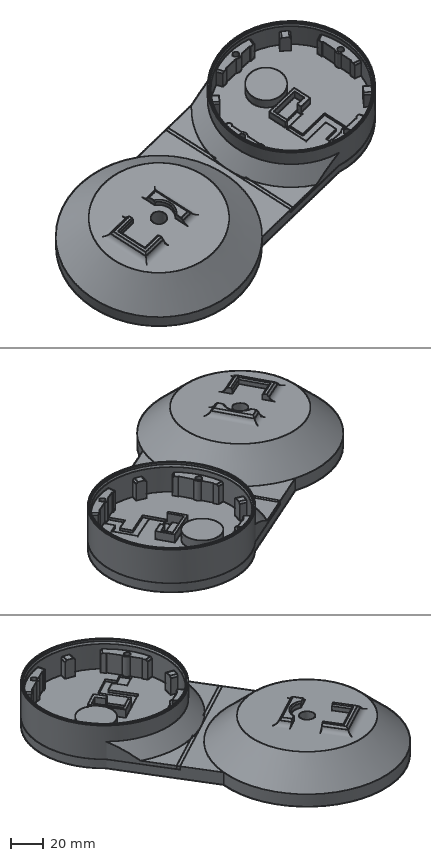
import cadquery as cq
import math

foot_dia = 128.0
foot_rim_height = 9.0
foot_top_dia = 87.0
foot_top_height = 27.5
foot_hole_dia = 10.0

total_length = 246.0
total_height = 31.7
cup_dia = 104.0
bridge_width = 99.9
base_plate_height = 6.6

cup_floor_height = 10.8
cup_bore_dia = 99.9
cup_lip_dia = 101.5
cup_lip_depth = 1.5
cup_lip_taper = 1.5
cup_edge_height = 0.7
cup_edge_inset = 0.2
skirt_top_height = 19.5
skirt_bottom_radius = 62.0

strip_width = 2.2

frame_half_width = 18.2
frame_back = 18.0
frame_front = -34.2
gap_back = 6.2
gap_front = -13.3
lip_height = 1.5
frame_pocket_half_width = 9.8
frame_pocket_front = -25.8
frame_chamfer = 1.0
frame_arc_radius = 10.0

fitting_count = 4
fitting_turn = -1.2
pad_height = 25.0
pad_half_width = 15.3
pad_face_radius = 43.5
pad_end_chamfer = 1.2
pad_tab_width = 3.7
pad_tab_depth = 0.7
pad_hole_dia = 4.2
pad_hole_radius = 46.0
pad_hole_shift = 1.0
pad_boss_dia = 7.1
post_height = 24.0
post_width = 7.1
post_face_radius = 44.8
post_chamfer = 1.2
disc_dia = 26.0
disc_offset = -20.2
disc_height = 18.0

box_height = 16.7
box_left = -5.5
box_right = 7.5
box_front = -15.0
box_back = 9.3
box_wall = 2.0
box_inner_right = 4.2
slot_right = 8.5
slot_back = 0.5
recess_depth = 1.7
channel_lower_back = -12.0
channel_rise_left = 19.0
channel_rise_right = 24.0
channel_upper_front = 4.2
channel_drop_left = 32.5
channel_drop_right = 36.2
channel_exit_front = -5.7
channel_exit_back = 2.0

cup_radius = cup_dia / 2
cup_y = total_length - foot_dia / 2 - cup_radius
strip_front = cup_y - skirt_bottom_radius
strip_back = strip_front + strip_width
frame_cove_radius = total_height - foot_top_height


def block(x_min, x_max, y_min, y_max, z_min, z_max):
    """Box given by its limits along each axis."""
    return cq.Workplane("XY").box(
        x_max - x_min, y_max - y_min, z_max - z_min, centered=False
    ).translate((x_min, y_min, z_min))


def cylinder(diameter, z_min, z_max, x=0.0, y=0.0):
    """Upright cylinder between two levels."""
    return cq.Workplane("XY").circle(diameter / 2).extrude(z_max - z_min).translate((x, y, z_min))


def cone(bottom_radius, top_radius, z_min, z_max):
    """Upright truncated cone on the Z axis."""
    return cq.Workplane("XZ").polyline(
        [(0, z_min), (bottom_radius, z_min), (top_radius, z_max), (0, z_max)]
    ).close().revolve(360, (0, 0), (0, 1))


def frame_edge_cutter(length):
    """Waste outside one frame edge, which lies on the Y axis with the frame towards -X.

    It leaves a concave cove that rises from the foot and a 45 degree lip chamfer above it.
    """
    lip_z = total_height - lip_height
    lip_in = math.sqrt(frame_cove_radius**2 - lip_height**2)
    mid_angle = (math.asin(lip_height / frame_cove_radius) + math.pi / 2) / 2
    mid_point = (
        -frame_cove_radius * math.cos(mid_angle),
        total_height - frame_cove_radius * math.sin(mid_angle),
    )
    return (
        cq.Workplane("XZ")
        .moveTo(0, foot_top_height)
        .threePointArc(mid_point, (-lip_in, lip_z))
        .lineTo(-lip_in - lip_height, total_height)
        .lineTo(0, total_height)
        .close()
        .extrude(length / 2, both=True)
    )


def make_mount_frame():
    """Two-piece frame with coved outer sides and a gap around the foot hole."""
    middle_y = (frame_back + frame_front) / 2
    depth = frame_back - frame_front
    frame = block(
        -frame_half_width, frame_half_width, frame_front, frame_back, foot_top_height, total_height
    )
    edge_places = ((0, frame_half_width), (90, depth / 2), (180, frame_half_width), (270, depth / 2))
    for turn, reach in edge_places:
        cutter = frame_edge_cutter(2 * depth).translate((reach, 0, 0))
        frame = frame.cut(cutter.rotate((0, 0, 0), (0, 0, 1), turn).translate((0, middle_y, 0)))

    frame = frame.cut(block(
        -frame_half_width, frame_half_width, gap_front, gap_back, foot_top_height, total_height
    ))

    pocket_side = frame_pocket_half_width
    pocket = block(
        -pocket_side, pocket_side, frame_pocket_front, gap_back, foot_top_height, total_height
    )
    chamfer_z = total_height - frame_chamfer
    pocket_depth = gap_back - frame_pocket_front
    pocket_flare = (
        cq.Workplane("XY", origin=(0, (frame_pocket_front + gap_back) / 2, chamfer_z))
        .rect(2 * pocket_side, pocket_depth)
        .workplane(offset=frame_chamfer)
        .rect(2 * (pocket_side + frame_chamfer), pocket_depth + 2 * frame_chamfer)
        .loft()
    )
    front_pocket = block(
        -frame_half_width, frame_half_width, frame_front, gap_front, foot_top_height, total_height
    ).intersect(pocket.union(pocket_flare))
    arc_bore = cylinder(2 * frame_arc_radius, foot_top_height, total_height)
    arc_flare = cone(frame_arc_radius, frame_arc_radius + frame_chamfer, chamfer_z, total_height)
    back_arc = block(
        -frame_half_width, frame_half_width, gap_back, frame_back, foot_top_height, total_height
    ).intersect(arc_bore.union(arc_flare))
    return frame.cut(front_pocket).cut(back_arc)


def make_base():
    """Conical foot with its mount frame, joined by the bridge to the plate under the cup."""
    half_width = bridge_width / 2
    base = cylinder(foot_dia, 0, foot_rim_height)
    base = base.union(cone(foot_dia / 2, foot_top_dia / 2, foot_rim_height, foot_top_height))
    base = base.union(block(-half_width, half_width, 0, strip_front, 0, foot_rim_height))
    base = base.union(block(-half_width, half_width, 0, cup_y, 0, base_plate_height))
    base = base.union(cylinder(cup_dia, 0, base_plate_height, y=cup_y))
    base = base.union(make_mount_frame())
    return base.cut(cylinder(foot_hole_dia, 0, foot_top_height))


def make_strip():
    half_width = bridge_width / 2
    return block(-half_width, half_width, strip_front, strip_back, base_plate_height, foot_rim_height)


def make_cup_shell():
    """Round wall with a stepped rim, plus the conical skirt and flange cut to the bridge width."""
    half_width = bridge_width / 2
    shell = cylinder(cup_dia, base_plate_height, total_height - cup_edge_height)
    shell = shell.union(cone(
        cup_radius, cup_radius - cup_edge_inset, total_height - cup_edge_height, total_height
    ))
    skirt = cone(skirt_bottom_radius, cup_radius, foot_rim_height, skirt_top_height)
    shell = shell.union(skirt.intersect(block(
        -half_width, half_width, -skirt_bottom_radius, 0, foot_rim_height, skirt_top_height
    )))
    shell = shell.union(block(
        -half_width, half_width, strip_back - cup_y, 0, base_plate_height, foot_rim_height
    ))
    shell = shell.cut(cylinder(cup_bore_dia, cup_floor_height, total_height))
    lip_z = total_height - cup_lip_depth
    shell = shell.cut(cone(cup_bore_dia / 2, cup_lip_dia / 2, lip_z - cup_lip_taper, lip_z))
    return shell.cut(cylinder(cup_lip_dia, lip_z, total_height))


def make_pad():
    """Screw pad against the +Y side of the wall: radial chamfered ends and a boss around its hole."""
    outer_y = cup_radius
    tab_face = pad_face_radius - pad_tab_depth
    tab_inner_x = pad_half_width - pad_tab_width
    outer_half_width = pad_half_width * outer_y / tab_face
    pad = (
        cq.Workplane("XY", origin=(0, 0, cup_floor_height))
        .polyline([
            (-pad_half_width, tab_face),
            (-tab_inner_x, tab_face),
            (-tab_inner_x, pad_face_radius),
            (tab_inner_x, pad_face_radius),
            (tab_inner_x, tab_face),
            (pad_half_width, tab_face),
            (outer_half_width, outer_y),
            (-outer_half_width, outer_y),
        ])
        .close()
        .extrude(pad_height - cup_floor_height)
    )
    for end_sign in (-1, 1):
        end_x = end_sign * (pad_half_width + outer_half_width) / 2
        end_middle = (end_x, (tab_face + outer_y) / 2, pad_height)
        end_edge = cq.selectors.NearestToPointSelector(end_middle)
        pad = pad.edges(end_edge).chamfer(pad_end_chamfer)
    pad = pad.union(cylinder(
        pad_boss_dia, cup_floor_height, pad_height, pad_hole_shift, pad_hole_radius
    ))
    return pad.cut(cylinder(
        pad_hole_dia, cup_floor_height, pad_height, pad_hole_shift, pad_hole_radius
    ))


def make_post():
    """Rectangular post against the +Y side of the wall with its two top side edges chamfered."""
    return block(
        -post_width / 2, post_width / 2, post_face_radius, cup_radius, cup_floor_height, post_height
    ).faces(">Z").edges("|Y").chamfer(post_chamfer)


def add_open_box(cup):
    """Add the raised box, open at the top and through part of its +X wall."""
    inner_front = box_front + box_wall
    cup = cup.union(block(box_left, box_right, box_front, box_back, cup_floor_height, box_height))
    cup = cup.cut(block(
        box_left + box_wall, box_inner_right, inner_front, box_back - box_wall, cup_floor_height, box_height
    ))
    slot_floor = cup_floor_height - recess_depth
    return cup.cut(block(box_inner_right, slot_right, inner_front, slot_back, slot_floor, box_height))


def make_channel():
    """Recess in the floor that zigzags from the box slot to the +X pad."""
    return (
        cq.Workplane("XY", origin=(0, 0, cup_floor_height - recess_depth))
        .polyline([
            (slot_right, box_front),
            (channel_rise_right, box_front),
            (channel_rise_right, channel_upper_front),
            (channel_drop_left, channel_upper_front),
            (channel_drop_left, channel_exit_front),
            (pad_face_radius, channel_exit_front),
            (pad_face_radius, channel_exit_back),
            (channel_drop_right, channel_exit_back),
            (channel_drop_right, box_back),
            (channel_rise_left, box_back),
            (channel_rise_left, channel_lower_back),
            (slot_right, channel_lower_back),
        ])
        .close()
        .extrude(recess_depth)
    )


def make_cup():
    """Cup with its disc, open box, channel, and the pads and posts around the wall."""
    cup = make_cup_shell()
    bore = cylinder(cup_bore_dia, cup_floor_height, total_height)
    cup = cup.union(cylinder(disc_dia, cup_floor_height, disc_height, x=disc_offset))
    cup = add_open_box(cup)
    cup = cup.cut(make_channel())
    fitting_pitch = 360 / fitting_count
    for index in range(fitting_count):
        turn = fitting_turn + fitting_pitch * index
        pad = make_pad().rotate((0, 0, 0), (0, 0, 1), turn)
        post = make_post().rotate((0, 0, 0), (0, 0, 1), turn + fitting_pitch / 2)
        cup = cup.union(pad.intersect(bore)).union(post.intersect(bore))
    return cup.translate((0, cup_y, 0))


base = make_base()
strip = make_strip()
cup = make_cup()

result = cq.Compound.makeCompound([base.solids().val(), strip.val(), cup.solids().val()])